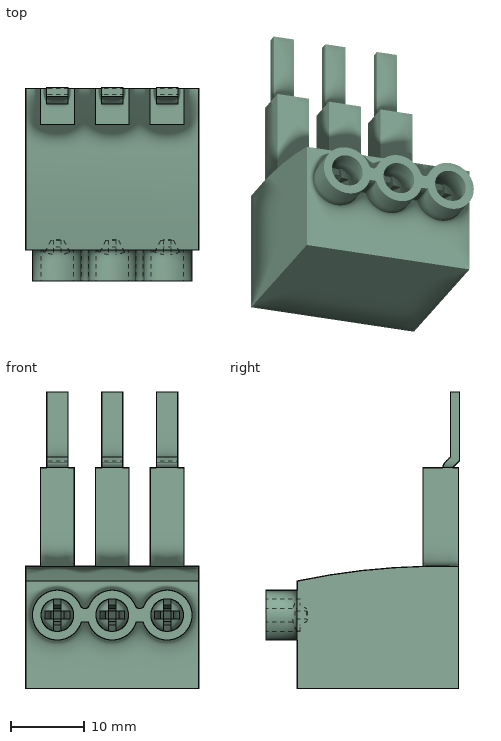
import math

import cadquery as cq

body_width = 23.7
body_depth = 22.13
body_back_height = 16.73
body_mid_height = 16.4
body_front_height = 14.75

pole_count = 3
pole_pitch = 7.5
pole_positions = [(i - (pole_count - 1) / 2) * pole_pitch for i in range(pole_count)]

tube_length = 4.25
tube_radius = 3.4
bore_radius = 2.25
bore_height = 10.05
web_top = 0.9
web_bottom = -0.95

dome_rise = 0.7
slot_width = 1.05
slot_depth = 0.4
cross_outer = 1.9
cross_inner = 0.9
cross_depth = 2.0
centre_half = 0.53
centre_depth = 2.15

block_width = 4.63
block_depth = 4.9
block_top = 30.25

pin_width = 2.92
pin_thickness = 1.25
pin_top = 40.6
pin_overhang = 0.12
pin_back = body_depth + pin_overhang
bend_height = 1.45
foot_height = 0.75
crank_angle = math.radians(45)


def extrude_across(profile, width, x=0):
    """Extrude a YZ profile symmetrically about the plane X = x."""
    return profile.extrude(width / 2, both=True).translate((x, 0, 0))


def make_body():
    profile = (
        cq.Workplane("YZ")
        .moveTo(0, 0)
        .lineTo(body_depth, 0)
        .lineTo(body_depth, body_back_height)
        .threePointArc((body_depth / 2, body_mid_height), (0, body_front_height))
        .close()
    )
    return extrude_across(profile, body_width)


def make_tubes():
    half_pitch = pole_pitch / 2
    groove_radius = (half_pitch**2 + web_top**2 - tube_radius**2) / (2 * (tube_radius - web_top))
    groove_height = web_top + groove_radius
    tangent_ratio = tube_radius / (tube_radius + groove_radius)
    tangent_height = groove_height * tangent_ratio
    tangent_offset = half_pitch * (1 - tangent_ratio)

    front_face = cq.Workplane("XZ", origin=(0, 0, bore_height))
    tube_centres = [(x, 0) for x in pole_positions]
    tubes = front_face.pushPoints(tube_centres).circle(tube_radius).extrude(tube_length)
    for x in pole_positions[:-1]:
        middle = x + half_pitch
        web = (
            front_face
            .moveTo(x, web_bottom)
            .lineTo(x + pole_pitch, web_bottom)
            .lineTo(x + pole_pitch, tangent_height)
            .lineTo(middle + tangent_offset, tangent_height)
            .threePointArc((middle, web_top), (middle - tangent_offset, tangent_height))
            .lineTo(x, tangent_height)
            .close()
            .extrude(tube_length)
        )
        tubes = tubes.union(web)
    return tubes


def make_screw_cavity():
    """Bore with a domed bottom, plus the slot and cross recess of the screw head."""
    sphere_radius = (bore_radius**2 + dome_rise**2) / (2 * dome_rise)
    sphere = cq.Workplane("XY").sphere(sphere_radius).translate((0, sphere_radius - dome_rise, 0))
    cavity = cq.Workplane("XZ").circle(bore_radius).extrude(tube_length).cut(sphere)

    slot_plane = cq.Workplane("XZ", origin=(0, slot_depth, 0))
    slot_height = slot_depth + dome_rise
    slot = slot_plane.rect(slot_width, 2 * bore_radius).extrude(slot_height)
    slot = slot.intersect(slot_plane.circle(bore_radius).extrude(slot_height))

    floor = cross_depth - dome_rise
    centre_floor = centre_depth - dome_rise
    horizontal = (
        cq.Workplane("XY")
        .polyline([
            (-cross_outer, -dome_rise),
            (cross_outer, -dome_rise),
            (cross_inner, floor),
            (-cross_inner, floor),
        ])
        .close()
        .extrude(slot_width / 2, both=True)
    )
    vertical = (
        cq.Workplane("YZ")
        .polyline([
            (-dome_rise, -cross_outer),
            (floor, -cross_inner),
            (centre_floor, -centre_half),
            (centre_floor, centre_half),
            (floor, cross_inner),
            (-dome_rise, cross_outer),
        ])
        .close()
        .extrude(slot_width / 2, both=True)
    )
    return cavity.union(slot).union(horizontal).union(vertical)


def make_block(x):
    block = cq.Workplane("XY").box(block_width, block_depth, block_top, centered=(True, False, False))
    return block.translate((x, body_depth - block_depth, 0))


def make_pin(x):
    front = pin_back - pin_thickness
    foot_radius = foot_height / math.sin(crank_angle)
    foot_start = front - (bend_height - foot_height) * math.tan(crank_angle)
    foot_centre = foot_start + foot_radius * math.cos(crank_angle)
    half_angle = crank_angle / 2
    foot_middle = (
        foot_centre - foot_radius * math.cos(half_angle),
        block_top + foot_radius * math.sin(half_angle),
    )
    back_bend_height = bend_height - pin_thickness * math.tan(half_angle)

    profile = (
        cq.Workplane("YZ")
        .moveTo(pin_back, pin_top)
        .lineTo(front, pin_top)
        .lineTo(front, block_top + bend_height)
        .lineTo(foot_start, block_top + foot_height)
        .threePointArc(foot_middle, (foot_centre - foot_radius, block_top))
        .lineTo(pin_back - back_bend_height * math.tan(crank_angle), block_top)
        .lineTo(pin_back, block_top + back_bend_height)
        .close()
    )
    return extrude_across(profile, pin_width, x)


result = make_body().union(make_tubes())
screw_cavity = make_screw_cavity()
for pole_x in pole_positions:
    result = result.union(make_block(pole_x)).union(make_pin(pole_x))
    result = result.cut(screw_cavity.translate((pole_x, 0, bore_height)))